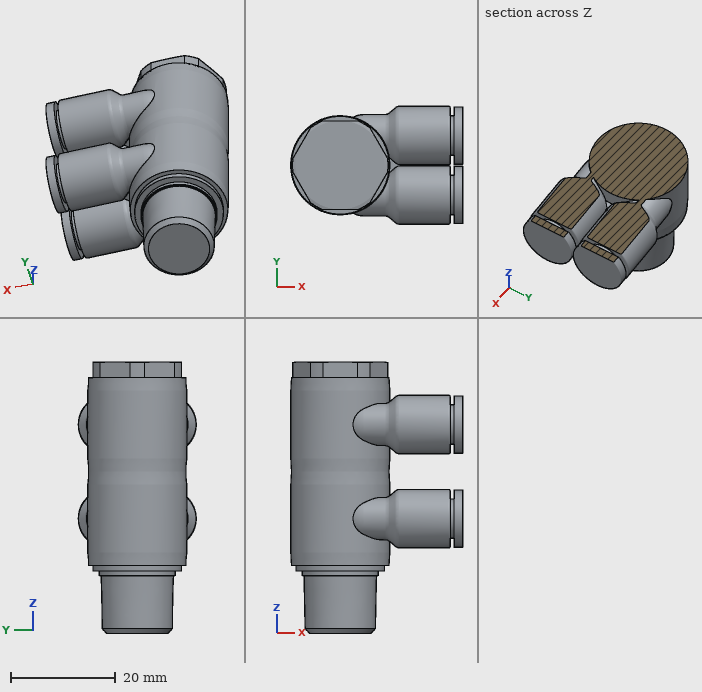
import cadquery as cq
import math

body_radius = 9.5
body_end_radius = 9.35
end_band_height = 2.5
housing_height = 18.0
housing_count = 2
body_base_z = 13.0

stem_tip_radius = 5.85
stem_low_radius = 6.75
stem_top_radius = 6.95
stem_chamfer_height = 0.95
stem_top_z = 11.0
shoulder_radius = 7.3
shoulder_chamfer = 0.15
shoulder_top_z = 11.95
flange_radius = 8.5

hex_height = 3.0
hex_across_flats = 17.0
hex_corner_radius = 9.125
hex_top_radius = 8.5
hex_bevel_height = 0.15

port_offset_y = 5.68
port_rise = 9.0
neck_start_x = 4.5
neck_radius = 4.05
cone_start_x = 9.05
cone_end_x = 10.9
cone_start_fillet = 1.0
cone_end_fillet = 1.0
sleeve_radius = 5.62
sleeve_end_x = 21.05
sleeve_end_fillet = 0.3
groove_radius = 3.8
collar_radius = 5.5
collar_start_x = 21.8
collar_end_x = 23.45
collar_edge_fillet = 0.1

web_end_x = 11.5
web_thickness = 2.0

body_top_z = body_base_z + housing_count * housing_height


def make_stem():
    """Tapered stem with its shoulder and flange, turned about Z."""
    return (
        cq.Workplane("XZ")
        .moveTo(0, 0)
        .lineTo(stem_tip_radius, 0)
        .lineTo(stem_low_radius, stem_chamfer_height)
        .lineTo(stem_top_radius, stem_top_z)
        .lineTo(shoulder_radius - shoulder_chamfer, stem_top_z)
        .lineTo(shoulder_radius, stem_top_z + shoulder_chamfer)
        .lineTo(shoulder_radius, shoulder_top_z)
        .lineTo(flange_radius, shoulder_top_z)
        .lineTo(flange_radius, body_base_z)
        .lineTo(0, body_base_z)
        .close()
        .revolve(360, (0, 0, 0), (0, 1, 0))
    )


def make_housing(base_z):
    """One housing: a cylinder that narrows slightly at both ends."""
    top_z = base_z + housing_height
    return (
        cq.Workplane("XZ")
        .moveTo(0, base_z)
        .lineTo(body_end_radius, base_z)
        .lineTo(body_radius, base_z + end_band_height)
        .lineTo(body_radius, top_z - end_band_height)
        .lineTo(body_end_radius, top_z)
        .lineTo(0, top_z)
        .close()
        .revolve(360, (0, 0, 0), (0, 1, 0))
    )


def make_hex_head():
    """Hexagon with corners on the X axis, cut back to a bevelled disc."""
    across_corners = hex_across_flats / math.cos(math.pi / 6)
    prism = (
        cq.Workplane("XY")
        .workplane(offset=body_top_z)
        .polygon(6, across_corners)
        .extrude(hex_height)
    )
    head_top_z = body_top_z + hex_height
    disc = (
        cq.Workplane("XZ")
        .moveTo(0, body_top_z)
        .lineTo(hex_corner_radius, body_top_z)
        .lineTo(hex_corner_radius, head_top_z - hex_bevel_height)
        .lineTo(hex_top_radius, head_top_z)
        .lineTo(0, head_top_z)
        .close()
        .revolve(360, (0, 0, 0), (0, 1, 0))
    )
    return prism.intersect(disc)


def round_port_edge(port, x, radius, fillet):
    """Fillet the outermost circular edge of the port at the given x."""
    reach = 0.05
    box = cq.selectors.BoxSelector(
        (x - reach, -radius - reach, -radius - reach),
        (x + reach, radius + reach, radius + reach),
        boundingbox=True,
    )
    outermost = cq.selectors.RadiusNthSelector(-1)
    return port.edges(box).edges("%CIRCLE").edges(outermost).fillet(fillet)


def make_port():
    """One port turned about the X axis, its inner end a hemisphere."""
    arc_reach = neck_radius * math.sqrt(0.5)
    port = (
        cq.Workplane("XY")
        .moveTo(neck_start_x - neck_radius, 0)
        .threePointArc((neck_start_x - arc_reach, arc_reach), (neck_start_x, neck_radius))
        .lineTo(cone_start_x, neck_radius)
        .lineTo(cone_end_x, sleeve_radius)
        .lineTo(sleeve_end_x, sleeve_radius)
        .lineTo(sleeve_end_x, groove_radius)
        .lineTo(collar_start_x, groove_radius)
        .lineTo(collar_start_x, collar_radius)
        .lineTo(collar_end_x, collar_radius)
        .lineTo(collar_end_x, 0)
        .close()
        .revolve(360, (0, 0, 0), (1, 0, 0))
    )
    port = round_port_edge(port, cone_start_x, neck_radius, cone_start_fillet)
    port = round_port_edge(port, cone_end_x, sleeve_radius, cone_end_fillet)
    port = round_port_edge(port, sleeve_end_x, sleeve_radius, sleeve_end_fillet)
    return round_port_edge(port, collar_end_x, collar_radius, collar_edge_fillet)


def make_web():
    """Plate between the axes of a pair of ports, rooted in the body."""
    return cq.Workplane("XY").box(
        web_end_x, 2 * port_offset_y, web_thickness, centered=(False, True, True)
    )


result = make_stem().union(make_hex_head())
port = make_port()
web = make_web()
for level in range(housing_count):
    housing_base_z = body_base_z + level * housing_height
    port_z = housing_base_z + port_rise
    result = result.union(make_housing(housing_base_z))
    for side in (-1, 1):
        result = result.union(port.translate((0, side * port_offset_y, port_z)))
    result = result.union(web.translate((0, 0, port_z)))